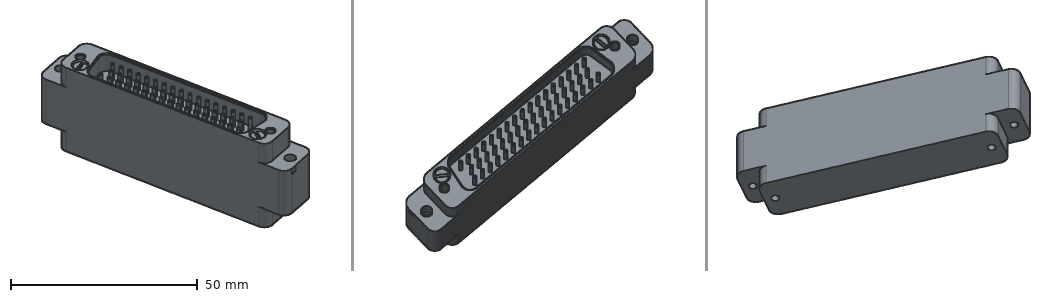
import cadquery as cq
import math

body_length = 67.3
depth = 12.7
height = 27.6
flange_length = 79.9
flange_height = 14.7
flange_bottom = (height - flange_height) / 2
flange_top = flange_bottom + flange_height
corner_radius = 2.6

pad_width = 1.9
pad_height = 1.8
pad_projection = 0.1
pad_y = -3.0

cavity_half_length = 26.0
cavity_half_width = 5.45
cavity_depth = 5.8
cavity_side_angle = 10
cavity_corner_radius = 2.4
lip_chamfer = 0.3

row_sizes = (17, 16, 17)
long_row_span = 44.3
pin_pitch = long_row_span / (max(row_sizes) - 1)
rows_span = 5.7
row_pitch = rows_span / (len(row_sizes) - 1)
pin_diameter = 1.05
pin_tip_depth = 0.5
pin_tip_chamfer = 0.3

hole_diameter = 2.2
body_hole_x = 30.6
body_hole_chamfer = 0.3
flange_hole_x = 36.9
flange_bore_diameter = 3.1
flange_bore_depth = 4.8

screw_x = 28.6
screw_y = -3.2
screw_radius = 2.3
screw_recess_depth = 0.4
slot_depth = 0.7
slot_width = 0.7
slot_angles = {-1: 97, 1: -36}


def rounded_block(length, bottom, block_height):
    """Block centred on the Z axis with rounded vertical corners."""
    block = cq.Workplane("XY").workplane(offset=bottom)
    block = block.rect(length, depth).extrude(block_height)
    return block.edges("|Z").fillet(corner_radius)


def cone(x, y, top, top_radius, bottom_radius, cone_height):
    """Cone frustum hanging down from the level `top`."""
    centre = cq.Vector(x, y, top)
    down = cq.Vector(0, 0, -1)
    return cq.Workplane("XY").add(cq.Solid.makeCone(top_radius, bottom_radius, cone_height, centre, down))


def cavity_outline(offset):
    """D outline grown outward by `offset`, drawn on the top face."""
    side_angle = math.radians(cavity_side_angle)
    slope = math.tan(side_angle)
    half_width = cavity_half_width + offset
    half_length = cavity_half_length + offset / math.cos(side_angle)
    back_x = half_length + half_width * slope
    front_x = half_length - half_width * slope
    corners = [
        (-back_x, half_width),
        (back_x, half_width),
        (front_x, -half_width),
        (-front_x, -half_width),
    ]
    outline = cq.Sketch().polygon(corners + corners[:1])
    outline = outline.vertices().fillet(cavity_corner_radius + offset)
    return cq.Workplane("XY").workplane(offset=height).placeSketch(outline)


def cavity():
    """Straight-walled pocket with a 45 degree chamfer around its mouth."""
    pocket = cavity_outline(0).extrude(-cavity_depth)
    lip = cavity_outline(lip_chamfer).extrude(-lip_chamfer, taper=45)
    return pocket.union(lip)


def pins():
    """All contact pins, rooted just below the cavity floor."""
    centres = []
    for row, count in enumerate(row_sizes):
        y = (1 - row) * row_pitch
        for column in range(count):
            centres.append(((column - (count - 1) / 2) * pin_pitch, y))
    floor = height - cavity_depth
    root = 0.4
    all_pins = cq.Workplane("XY").workplane(offset=floor - root).pushPoints(centres)
    all_pins = all_pins.circle(pin_diameter / 2).extrude(root + cavity_depth - pin_tip_depth)
    return all_pins.faces(">Z").edges().chamfer(pin_tip_chamfer)


def through_hole(x):
    return cq.Workplane("XY").center(x, 0).circle(hole_diameter / 2).extrude(height)


def body_hole(x):
    """Through hole with a chamfered mouth."""
    radius = hole_diameter / 2
    mouth = cone(x, 0, height, radius + body_hole_chamfer, radius, body_hole_chamfer)
    return through_hole(x).union(mouth)


def flange_hole(x):
    """Through hole with a wider bore that narrows down in a 45 degree cone."""
    radius = hole_diameter / 2
    bore_radius = flange_bore_diameter / 2
    bore_floor = flange_top - flange_bore_depth
    bore = cq.Workplane("XY").workplane(offset=bore_floor).center(x, 0).circle(bore_radius)
    bore = bore.extrude(flange_bore_depth)
    shoulder = cone(x, 0, bore_floor, bore_radius, radius, bore_radius - radius)
    return through_hole(x).union(bore).union(shoulder)


def screw_recess(side):
    """Shallow 45 degree recess; its slot is bounded by the same cone carried deeper."""
    x = side * screw_x
    recess = cone(x, screw_y, height, screw_radius, screw_radius - screw_recess_depth, screw_recess_depth)
    slot_cone = cone(x, screw_y, height, screw_radius, screw_radius - slot_depth, slot_depth)
    slot = cq.Workplane("XY").box(2 * screw_radius, slot_width, 2 * slot_depth)
    slot = slot.rotate((0, 0, 0), (0, 0, 1), slot_angles[side]).translate((x, screw_y, height))
    return recess.union(slot.intersect(slot_cone))


def end_pad():
    inset = 0.8
    pad = cq.Workplane("XY").box(inset + pad_projection, pad_width, pad_height, centered=(False, True, False))
    return pad.translate((flange_length / 2 - inset, pad_y, flange_top - pad_height))


result = rounded_block(body_length, 0, height)
result = result.union(rounded_block(flange_length, flange_bottom, flange_height))
result = result.union(end_pad())
result = result.cut(cavity()).union(pins())
for side in (-1, 1):
    result = result.cut(body_hole(side * body_hole_x))
    result = result.cut(flange_hole(side * flange_hole_x))
    result = result.cut(screw_recess(side))